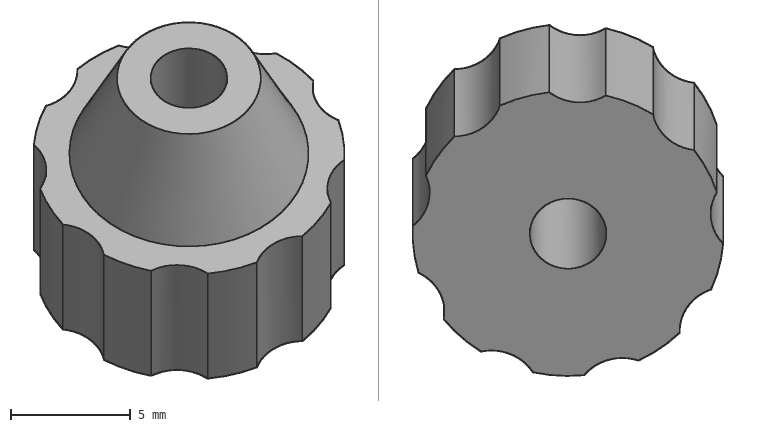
import cadquery as cq

rim_diameter = 13.0
total_height = 12.0
grip_height = 7.0
cone_height = total_height - grip_height
cone_base_diameter = 10.0
cone_top_diameter = 6.0
bore_diameter = 3.2

scallop_count = 9
scallop_radius = 2.0
scallop_floor_radius = 6.0
scallop_center_radius = scallop_floor_radius + scallop_radius


def make_grip():
    """Cylindrical grip with one scallop centred on +X and the rest evenly spaced."""
    grip = cq.Workplane("XY").circle(rim_diameter / 2).extrude(grip_height)
    scallops = (
        cq.Workplane("XY")
        .polarArray(scallop_center_radius, 0, 360, scallop_count)
        .circle(scallop_radius)
        .extrude(grip_height)
    )
    return grip.cut(scallops)


def make_cone():
    """Tapered nose standing on the grip."""
    return (
        cq.Workplane("XY", origin=(0, 0, grip_height))
        .circle(cone_base_diameter / 2)
        .workplane(offset=cone_height)
        .circle(cone_top_diameter / 2)
        .loft(ruled=True)
    )


def make_bore():
    """Through hole along the knob axis."""
    return cq.Workplane("XY").circle(bore_diameter / 2).extrude(total_height)


result = make_grip().union(make_cone()).cut(make_bore())